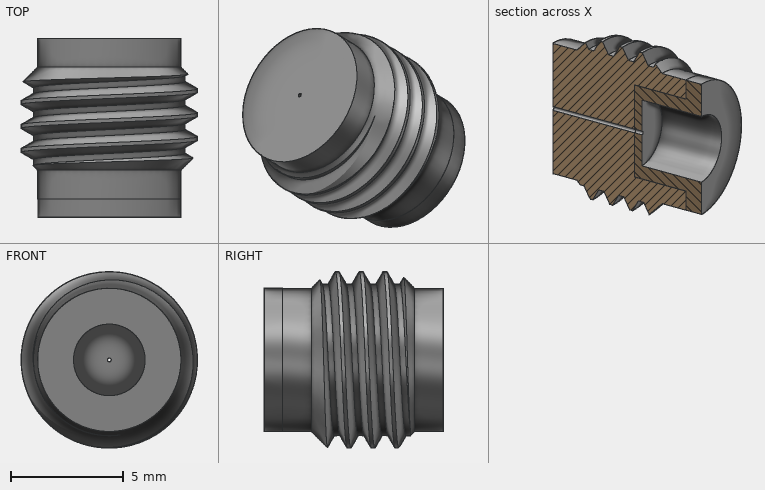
import cadquery as cq
import math


TOTAL_LENGTH = 7.94
BODY_RADIUS = 3.175
FLANGE_LENGTH = 0.82

PLAIN_END_LENGTH = 1.28
CREST_RADIUS = 3.9105
ROOT_RADIUS = 3.3625
PITCH = 1.06
ROOT_WIDTH = PITCH / 4
FLANK_ANGLE = 30.0
ROOT_Y = 5.09
GROOVE_START_TURNS = 2
GROOVE_TURNS = 5.5
CUT_MARGIN = 0.07

BORE_RADIUS = 1.59
BORE_DEPTH = 3.175
SLEEVE_RADIUS = 2.22
SLEEVE_FLOOR = 0.4
ORIFICE_RADIUS = 0.08

INSERT_LENGTH = BORE_DEPTH + SLEEVE_FLOOR
THREAD_FRONT_Y = FLANGE_LENGTH + PLAIN_END_LENGTH
THREAD_REAR_Y = TOTAL_LENGTH - PLAIN_END_LENGTH
CHAMFER = CREST_RADIUS - BODY_RADIUS


def cylinder(radius, y_start, y_end):
    """Solid cylinder around the Y axis between two Y positions."""
    plane = cq.Workplane("XZ", origin=(0, y_end, 0))
    return plane.circle(radius).extrude(y_end - y_start)


def thread_groove():
    """Right-handed helical cutter, wound around Z and then laid along Y."""
    cutter_radius = CREST_RADIUS + CUT_MARGIN
    flank_width = (cutter_radius - ROOT_RADIUS) * math.tan(math.radians(FLANK_ANGLE))
    half_root = ROOT_WIDTH / 2
    half_mouth = half_root + flank_width
    path = cq.Wire.makeHelix(PITCH, GROOVE_TURNS * PITCH, ROOT_RADIUS)
    profile = cq.Workplane("XZ").polyline([
        (ROOT_RADIUS, -half_root),
        (cutter_radius, -half_mouth),
        (cutter_radius, half_mouth),
        (ROOT_RADIUS, half_root),
    ]).close()
    groove = profile.sweep(cq.Workplane(path), isFrenet=True)
    start_y = ROOT_Y + GROOVE_START_TURNS * PITCH
    return groove.rotate((0, 0, 0), (1, 0, 0), 90).translate((0, start_y, 0))


def make_housing():
    """Threaded sleeve with plain ends and a blind socket for the insert."""
    blank = (
        cq.Workplane("YZ")
        .polyline([
            (FLANGE_LENGTH, 0),
            (FLANGE_LENGTH, -BODY_RADIUS),
            (THREAD_FRONT_Y, -BODY_RADIUS),
            (THREAD_FRONT_Y + CHAMFER, -CREST_RADIUS),
            (THREAD_REAR_Y - CHAMFER, -CREST_RADIUS),
            (THREAD_REAR_Y, -BODY_RADIUS),
            (TOTAL_LENGTH, -BODY_RADIUS),
            (TOTAL_LENGTH, 0),
        ])
        .close()
        .revolve(360, (0, 0, 0), (1, 0, 0))
    )
    socket = cylinder(SLEEVE_RADIUS, FLANGE_LENGTH, INSERT_LENGTH)
    orifice = cylinder(ORIFICE_RADIUS, INSERT_LENGTH, TOTAL_LENGTH)
    return blank.cut(thread_groove()).cut(socket).cut(orifice)


def make_insert():
    """Flanged cup with a wide bore that ends in a small orifice."""
    flange = cylinder(BODY_RADIUS, 0, FLANGE_LENGTH)
    sleeve = cylinder(SLEEVE_RADIUS, 0, INSERT_LENGTH)
    bore = cylinder(BORE_RADIUS, 0, BORE_DEPTH)
    orifice = cylinder(ORIFICE_RADIUS, BORE_DEPTH, INSERT_LENGTH)
    return flange.union(sleeve).cut(bore).cut(orifice)


housing = make_housing()
insert = make_insert()
result = cq.Compound.makeCompound([*housing.solids().vals(), *insert.solids().vals()])